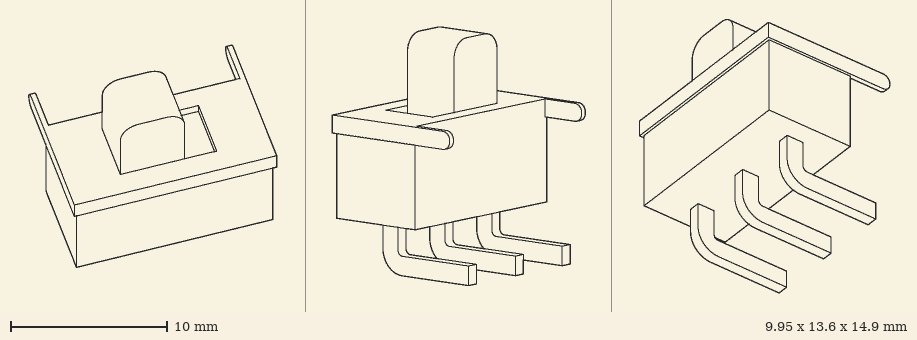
import cadquery as cq


total_height = 14.88

body_depth = 6.55
body_width = 13.17
body_bottom = 3.47

plate_depth = 6.75
plate_width = 13.57
plate_thickness = 1.18
plate_top = 10.2
plate_bottom = plate_top - plate_thickness
tab_length = 3.05
tab_thickness = 0.37
tab_end_radius = 0.57

slot_length = 6.46
slot_depth = 0.6
slider_start = 1.34
slider_depth = 3.9
slider_width = 4.32
slider_radius = 1.22

pin_count = 3
pin_pitch = 4.69
pin_width = 0.8
pin_thickness = 1.28
pin_reach = 3.2
pin_back = 3.95
pin_inner_radius = 0.35
pin_outer_radius = pin_inner_radius + pin_thickness


def box(x, y, z, depth, width, height):
    """Box starting at the corner (x, y, z)."""
    return cq.Workplane("XY").box(depth, width, height, centered=False).translate((x, y, z))


def make_body():
    return box(0, -body_width / 2, body_bottom, body_depth, body_width, plate_top - body_bottom)


def make_plate():
    return box(0, -plate_width / 2, plate_bottom, plate_depth, plate_width, plate_thickness)


def make_tab(y_start):
    """Tab with a rounded end, continuing the plate past the mounting face."""
    tab_depth = tab_length + plate_depth
    tab = box(-tab_length, y_start, plate_bottom, tab_depth, tab_thickness, plate_thickness)
    return tab.edges("|Y and <X").fillet(tab_end_radius)


def make_slot():
    slot_bottom = plate_top - slot_depth
    return box(slider_start, -slot_length / 2, slot_bottom, slider_depth, slot_length, slot_depth)


def make_slider():
    """Slider resting on the slot floor, at the -Y end of its travel."""
    slider_bottom = plate_top - slot_depth
    slider_height = total_height - slider_bottom
    slider = box(slider_start, -slot_length / 2, slider_bottom, slider_depth, slider_width, slider_height)
    return slider.edges("|X and >Z").fillet(slider_radius)


def make_pin(y_center):
    """L-shaped pin, bent from the housing underside out past the mounting face."""
    pin_front = pin_back - pin_thickness
    profile = (
        cq.Workplane("XZ", origin=(0, y_center, 0))
        .moveTo(-pin_reach, 0)
        .lineTo(pin_back - pin_outer_radius, 0)
        .radiusArc((pin_back, pin_outer_radius), -pin_outer_radius)
        .lineTo(pin_back, body_bottom)
        .lineTo(pin_front, body_bottom)
        .lineTo(pin_front, pin_thickness + pin_inner_radius)
        .radiusArc((pin_front - pin_inner_radius, pin_thickness), pin_inner_radius)
        .lineTo(-pin_reach, pin_thickness)
        .close()
    )
    return profile.extrude(pin_width / 2, both=True)


result = make_body().union(make_plate())

for tab_y in (-plate_width / 2, plate_width / 2 - tab_thickness):
    result = result.union(make_tab(tab_y))

result = result.cut(make_slot()).union(make_slider())

for index in range(pin_count):
    pin_y = (index - (pin_count - 1) / 2) * pin_pitch
    result = result.union(make_pin(pin_y))